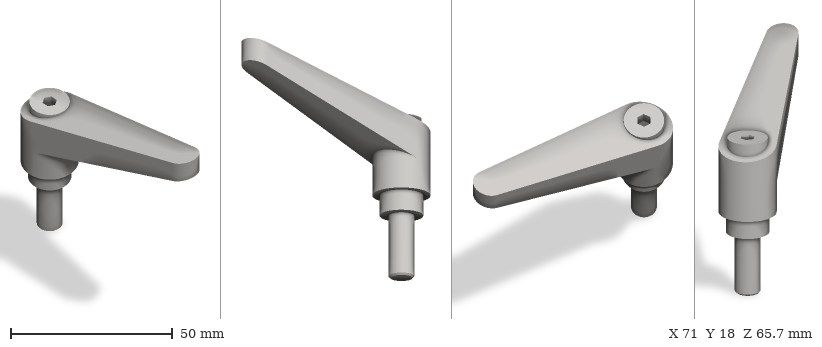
import cadquery as cq
import math


stud_diameter = 8.0
stud_length = 20.0
stud_chamfer = 0.6
collar_diameter = 13.5
collar_height = 6.5

hub_radius = 9.0
tip_radius = 5.0
lever_reach = 62.0
lever_top_at_end = 45.66
lever_top_angle = 15.35
lever_underside_at_axis = 16.0
lever_underside_angle = 20.0

cap_diameter = 12.5
cap_top = 31.0
socket_across_flats = 4.0
socket_depth = 4.0
drill_point_angle = 120.0

tip_center_x = lever_reach - tip_radius
top_slope = math.tan(math.radians(lever_top_angle))
underside_slope = math.tan(math.radians(lever_underside_angle))


def lever_top(x):
    """Height of the sloping top face at x."""
    return lever_top_at_end - (lever_reach - x) * top_slope


def lever_underside(x):
    """Height of the sloping underside of the arm at x."""
    return lever_underside_at_axis + x * underside_slope


def cylinder(diameter, bottom, top):
    """Cylinder on the stud axis between two heights."""
    return cq.Workplane("XY").workplane(offset=bottom).circle(diameter / 2).extrude(top - bottom)


def make_side_wedge(points):
    """Side profile in XZ, extruded symmetrically across the full hub width."""
    return cq.Workplane("XZ").polyline(points).close().extrude(hub_radius, both=True)


def make_arm():
    """Tapered arm: tangent sides from the hub to a round tip, between the sloping faces."""
    tangent_sine = (hub_radius - tip_radius) / tip_center_x
    tangent_cosine = math.sqrt(1 - tangent_sine**2)
    hub_tangent = (hub_radius * tangent_sine, hub_radius * tangent_cosine)
    tip_tangent = (tip_center_x + tip_radius * tangent_sine, tip_radius * tangent_cosine)
    plan = (
        cq.Workplane("XY")
        .moveTo(hub_tangent[0], -hub_tangent[1])
        .lineTo(tip_tangent[0], -tip_tangent[1])
        .threePointArc((lever_reach, 0), tip_tangent)
        .lineTo(*hub_tangent)
        .close()
        .extrude(lever_top_at_end)
    )
    side = make_side_wedge(
        [
            (0, lever_underside(0)),
            (lever_reach, lever_underside(lever_reach)),
            (lever_reach, lever_top_at_end),
            (0, lever_top(0)),
        ]
    )
    return plan.intersect(side)


def make_hub():
    """Upright hub, cut off on top by the lever's sloping top face."""
    side = make_side_wedge(
        [
            (-hub_radius, collar_height),
            (hub_radius, collar_height),
            (hub_radius, lever_top(hub_radius)),
            (-hub_radius, lever_top(-hub_radius)),
        ]
    )
    return cylinder(2 * hub_radius, collar_height, lever_top_at_end).intersect(side)


def make_stud():
    """Stud with a chamfered free end."""
    return cylinder(stud_diameter, -stud_length, 0).faces("<Z").chamfer(stud_chamfer)


def make_socket():
    """Hexagon socket, corners along X, ending in a conical drill point."""
    corner_radius = socket_across_flats / math.sqrt(3)
    point_depth = corner_radius / math.tan(math.radians(drill_point_angle / 2))
    floor = cap_top - socket_depth
    hexagon = cq.Workplane("XY").workplane(offset=floor).polygon(6, 2 * corner_radius).extrude(socket_depth)
    drill_point = (
        cq.Workplane("XZ")
        .polyline([(0, floor), (corner_radius, floor), (0, floor - point_depth)])
        .close()
        .revolve(axisStart=(0, 0, 0), axisEnd=(0, 1, 0))
    )
    return hexagon.union(drill_point)


collar = cylinder(collar_diameter, 0, collar_height)
cap = cylinder(cap_diameter, collar_height, cap_top)
result = make_hub().union(make_arm()).union(collar).union(make_stud()).union(cap).cut(make_socket())